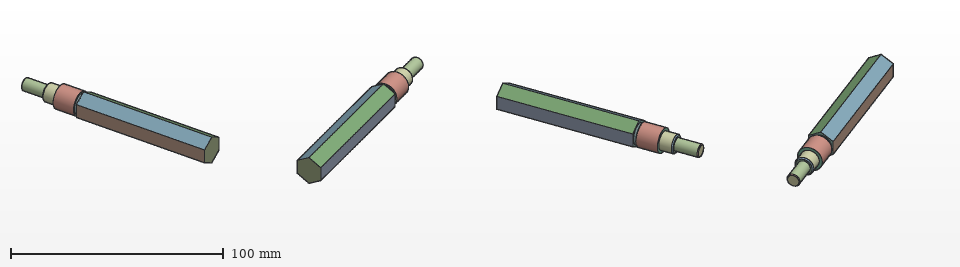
import cadquery as cq
import math

overall_length = 104.1
nose_start = 12.6
collar_start = 19.8
collar_end = 31.1
hex_start = 32.7

pin_diameter = 6.7
nose_diameter = 9.7
hex_across_flats = 12.7
collar_diameter = hex_across_flats
neck_diameter = 11.1
hex_across_corners = hex_across_flats / math.cos(math.pi / 6)

pin_chamfer = 0.4
nose_chamfer = 0.6


def cylinder_along_x(start, end, diameter):
    """Round section centred on the X axis."""
    return cq.Workplane("YZ", origin=(start, 0, 0)).circle(diameter / 2).extrude(end - start)


def make_pin():
    """Plain pin with a chamfered tip, seated on the face of the nose."""
    pin = cylinder_along_x(0, nose_start, pin_diameter)
    return pin.faces("<X").edges().chamfer(pin_chamfer)


def make_hex_bar():
    """Hexagonal bar with two corners on the Z axis."""
    section = cq.Workplane("YZ", origin=(hex_start, 0, 0)).transformed(rotate=(0, 0, 90))
    return section.polygon(6, hex_across_corners).extrude(overall_length - hex_start)


def make_housing():
    """Hexagonal bar carrying a neck, a collar and a chamfered nose."""
    nose = cylinder_along_x(nose_start, collar_start, nose_diameter)
    nose = nose.faces("<X").edges().chamfer(nose_chamfer)
    collar = cylinder_along_x(collar_start, collar_end, collar_diameter)
    neck = cylinder_along_x(collar_end, hex_start, neck_diameter)
    return nose.union(collar).union(neck).union(make_hex_bar())


pin = make_pin()
housing = make_housing()

result = cq.Compound.makeCompound([pin.val(), housing.solids().val()])